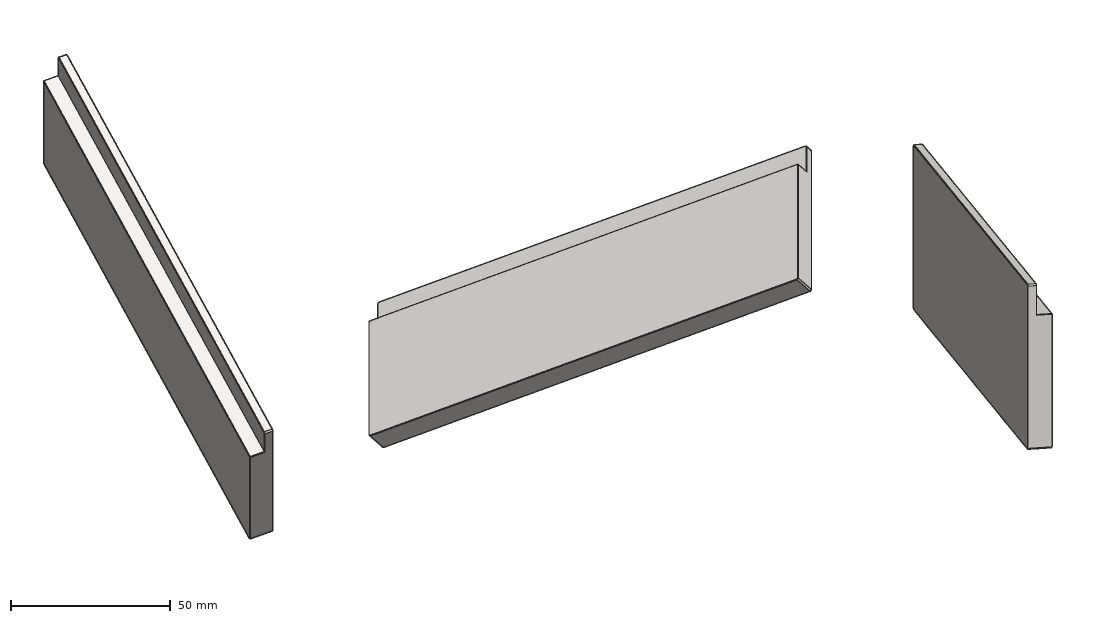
import cadquery as cq

length = 160.0
thickness = 8.0
height = 54.0

lip_thickness = 3.0
lip_height = 10.0

end_corner_chamfer = 0.5

edge_break = 0.2

front = -thickness / 2
back = thickness / 2
lip_front = back - lip_thickness
shoulder = height - lip_height


def stepped_strip():
    """Extrude the stepped cross-section along X, centred on the origin."""
    profile = [
        (front, 0),
        (back, 0),
        (back, height),
        (lip_front, height),
        (lip_front, shoulder),
        (front, shoulder),
    ]
    return cq.Workplane("YZ").polyline(profile).close().extrude(length / 2, both=True)


def chamfer_end_corners(body):
    """Chamfer the short top and bottom edges at both ends."""
    return body.faces(">Z or <Z").edges("|Y").chamfer(end_corner_chamfer)


def break_outside_edges(body):
    """Lightly chamfer every edge but the inside corner and those bounding the end corner chamfers."""
    shoulder_face = body.faces(cq.selectors.NearestToPointSelector((0, (front + lip_front) / 2, shoulder)))
    inside_corner = shoulder_face.edges(">Y").val()
    shoulder_ends = shoulder_face.edges("|Y").vals()
    lengthwise_and_upright = [
        edge for edge in body.edges("not |Y").vals() if not edge.isSame(inside_corner)
    ]
    return body.newObject(lengthwise_and_upright + shoulder_ends).chamfer(edge_break)


result = break_outside_edges(chamfer_end_corners(stepped_strip()))